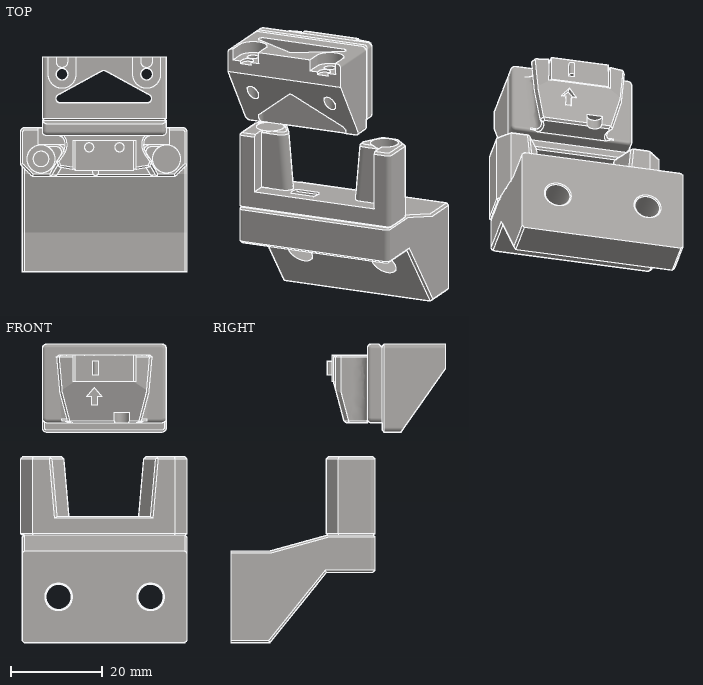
import cadquery as cq
import math


bracket_width = 35.9
bracket_center_x = 0.18
wall_block_depth = 8.5
wall_block_height = 20.0
arm_front_y = 20.8
arm_top_front_y = 21.2
arm_back_y = 31.4
arm_bottom_z = 15.3
arm_top_z = 23.5
bracket_chamfer = 0.5
back_edge_radius = 1.0
wall_hole_diameter = 5.5
wall_hole_chamfer = 0.25
wall_hole_spacing = 20.0
wall_hole_z = 10.0

dock_width = 36.26
dock_height = 17.0
dock_front_y = 20.75
dock_back_y = arm_back_y
dock_top_z = arm_top_z + dock_height
dock_floor_z = arm_top_z + 4.0
dock_front_corner = 2.6
dock_edge_chamfer = 0.5
dock_foot_chamfer = 0.3
slot_front_half_width = 10.35
slot_pocket_half_width = 14.3
slot_pocket_front_y = 27.75
slot_nose_radius = 1.7
slot_edge_chamfer = 0.4

bore_diameter = 6.1
bore_spacing = 27.3
bore_y = 24.57
screw_hole_diameter = 3.4

floor_pocket_x = 4.0
floor_pocket_y = 27.4
floor_pocket_diameter = 6.1
floor_slot_width = 3.0
floor_lip = 0.5

flank_angle = 30.0
draft_angle = 5.0
flank_slope = math.tan(math.radians(flank_angle))
draft_slope = math.tan(math.radians(draft_angle))

tool_x = 0.13
tool_width = 27.0
tool_top_z = 65.0
tool_corner_radius = 1.0
housing_front_y = 32.9
housing_back_y = 46.75
housing_bottom_z = 45.8
housing_slope_top_z = 59.7
housing_foot_back_y = 37.0
housing_front_chamfer = 0.45

window_base_y = 36.8
window_height = 7.1
window_half_base = 13.0
window_x = 0.0
window_corner_radius = 0.9

housing_hole_diameter = 2.5
housing_hole_spacing = 18.4
housing_hole_y = 43.0
screw_pocket_width = 6.1
screw_pocket_depth = 2.5
groove_width = 2.5
groove_end_y = 44.45
groove_depth = 0.6

flange_front_y = 29.7
flange_bottom_z = 47.85
flange_front_radius = 0.8
flange_top_relief = 0.7

plug_top_z = 62.6
plug_bottom_z = flange_bottom_z
plug_front_y = 22.3
plug_corner_y = 23.0
plug_corner_half_width = 11.03
plug_corner_chamfer = 1.2
plug_neck_y = 27.7
plug_neck_half_width = 8.6
plug_root_half_width = 10.5
plug_edge_chamfer = 0.45
bevel_angle = 15.0
bevel_slope = math.tan(math.radians(bevel_angle))

notch_x = tool_x + 3.8
notch_y = 24.2
notch_diameter = 3.4
notch_height = 2.3

arrow_x = -2.05
arrow_tip_z = 55.5
arrow_shoulder_z = 53.6
arrow_foot_z = 51.7
arrow_half_width = 1.65
arrow_shaft_half_width = 0.64
arrow_floor_y = 24.1

block_half_width = 6.37
block_side_gap = 0.5
recess_half_width = block_half_width + block_side_gap
block_front_y = 22.0
block_back_y = 28.55
block_bottom_z = 56.8
block_hole_diameter = 2.0
block_hole_spacing = 6.6
block_hole_y = 27.1
key_x = -1.77
key_width = 1.25
key_reach = 1.07
key_bottom_z = 58.25
key_height = 3.0

reach = 100.0
overcut = 1.0
pick_margin = 0.1


def box(x0, x1, y0, y1, z0, z1):
    return cq.Workplane("XY").box(x1 - x0, y1 - y0, z1 - z0, centered=False).translate((x0, y0, z0))


def cylinder(x, y, z0, z1, diameter):
    return cq.Workplane("XY", origin=(x, y, z0)).circle(diameter / 2).extrude(z1 - z0)


def side_profile(points, x0, x1):
    """Prism along X with an outline given as (y, z) points."""
    return cq.Workplane("YZ", origin=(x0, 0, 0)).polyline(points).close().extrude(x1 - x0)


def leaning_prism(outline, height):
    """Extrudes an XY outline upwards while it drifts towards -X at the draft slope."""
    wire = outline.val()
    return cq.Workplane(cq.Solid.extrudeLinear(wire, [], cq.Vector(-draft_slope * height, 0, height)))


def two_flanks(prism):
    """Keeps what lies between a drafted left flank and its mirror image."""
    return prism.intersect(prism.mirror("YZ"))


def make_bracket():
    x0 = bracket_center_x - bracket_width / 2
    x1 = x0 + bracket_width
    profile = [
        (0, 0),
        (wall_block_depth, 0),
        (arm_front_y, arm_bottom_z),
        (arm_back_y, arm_bottom_z),
        (arm_back_y, arm_top_z),
        (arm_top_front_y, arm_top_z),
        (wall_block_depth, wall_block_height),
        (0, wall_block_height),
    ]
    body = side_profile(profile, x0, x1)
    body = body.edges("|Z and >Y").fillet(back_edge_radius)
    rim = body.faces("<X or >X").edges("not |Z").add(body.faces(">Y").edges("|X"))
    body = body.newObject(rim.vals()).chamfer(bracket_chamfer)
    for side in (-1, 1):
        x = bracket_center_x + side * wall_hole_spacing / 2
        hole = cq.Workplane("XZ", origin=(x, 0, wall_hole_z)).circle(wall_hole_diameter / 2).extrude(-reach)
        body = body.cut(hole)
    body = body.faces("<Y").edges("%CIRCLE").chamfer(wall_hole_chamfer)
    return body


def make_slot():
    """Dovetail slot: a wide pocket at the back, rounded noses, flanks opening to the front."""
    height = dock_top_z - dock_floor_z
    drop = (slot_pocket_front_y - dock_front_y) * flank_slope
    nose_half_width = slot_front_half_width - drop
    front_half_width = slot_front_half_width + flank_slope * overcut
    outline = (
        cq.Workplane("XY", origin=(0, 0, dock_floor_z))
        .moveTo(reach, dock_front_y - overcut)
        .lineTo(-front_half_width, dock_front_y - overcut)
        .lineTo(-nose_half_width, slot_pocket_front_y)
        .lineTo(-reach, slot_pocket_front_y)
        .lineTo(-reach, dock_back_y + overcut)
        .lineTo(reach, dock_back_y + overcut)
        .close()
    )
    prism = leaning_prism(outline, height)
    nose = cq.selectors.BoxSelector(
        (-reach / 2, slot_pocket_front_y - pick_margin, dock_floor_z),
        (0, slot_pocket_front_y + pick_margin, dock_top_z),
    )
    prism = prism.edges("not(#Z)").edges(nose).fillet(slot_nose_radius)
    pocket_limit = box(
        -slot_pocket_half_width, slot_pocket_half_width, 0, reach, dock_floor_z, dock_top_z
    )
    return two_flanks(prism).intersect(pocket_limit)


def make_dock():
    half = dock_width / 2
    body = box(-half, half, dock_front_y, dock_back_y, arm_top_z, dock_top_z)
    body = body.edges("|Z and <Y").chamfer(dock_front_corner)
    body = body.edges("|Z and >Y").fillet(back_edge_radius)
    body = body.faces("<Z").edges().chamfer(dock_foot_chamfer)
    body = body.cut(make_slot())
    pocket_rim = cq.selectors.BoxSelector(
        (-half + back_edge_radius, slot_pocket_front_y - pick_margin, dock_floor_z),
        (half - back_edge_radius, dock_back_y - pick_margin, dock_top_z + pick_margin),
    )
    top_rim = body.faces(">Z").edges()
    body = top_rim.newObject(list(set(top_rim.vals()) - set(top_rim.edges(pocket_rim).vals())))
    body = body.chamfer(dock_edge_chamfer)
    mouth_half_width = half - dock_front_corner - pick_margin
    mouth = cq.selectors.BoxSelector(
        (-mouth_half_width, dock_front_y - pick_margin, dock_floor_z - pick_margin),
        (mouth_half_width, dock_front_y + pick_margin, dock_top_z - dock_edge_chamfer - pick_margin),
    )
    body = body.edges(mouth).chamfer(slot_edge_chamfer)
    for side in (-1, 1):
        x = side * bore_spacing / 2
        body = body.cut(cylinder(x, bore_y, dock_floor_z, dock_top_z, bore_diameter))
        body = body.cut(cylinder(x, bore_y, arm_top_z, dock_floor_z, screw_hole_diameter))
    pocket_top = dock_floor_z - floor_lip
    pocket = cylinder(floor_pocket_x, floor_pocket_y, arm_top_z, dock_floor_z, floor_pocket_diameter)
    opening = box(
        floor_pocket_x - reach,
        floor_pocket_x + reach,
        floor_pocket_y - floor_slot_width / 2,
        floor_pocket_y + floor_slot_width / 2,
        arm_top_z,
        dock_floor_z,
    )
    below_lip = box(-reach, reach, 0, reach, arm_top_z, pocket_top)
    return body.cut(pocket.intersect(opening.union(below_lip)))


def make_pin():
    return cylinder(bore_spacing / 2, bore_y, dock_floor_z, dock_top_z, bore_diameter)


def make_screw_seat(x):
    """Screw hole in a round-ended pocket open to the back, with a groove behind the hole."""
    floor_z = tool_top_z - screw_pocket_depth
    groove_z = floor_z - groove_depth
    groove_round_y = groove_end_y + groove_width / 2
    seat = cylinder(x, housing_hole_y, floor_z, tool_top_z, screw_pocket_width)
    half = screw_pocket_width / 2
    seat = seat.union(box(x - half, x + half, housing_hole_y, housing_back_y, floor_z, tool_top_z))
    seat = seat.union(cylinder(x, housing_hole_y, 0, floor_z, housing_hole_diameter))
    seat = seat.union(cylinder(x, groove_round_y, groove_z, floor_z, groove_width))
    half = groove_width / 2
    return seat.union(box(x - half, x + half, groove_round_y, housing_back_y, groove_z, floor_z))


def make_housing():
    half = tool_width / 2
    body = box(
        tool_x - half, tool_x + half, housing_front_y, housing_back_y, housing_bottom_z, tool_top_z
    )
    body = body.edges("|Y").fillet(tool_corner_radius)
    body = body.faces("<Y").edges().chamfer(housing_front_chamfer)
    slope = [
        (housing_foot_back_y, housing_bottom_z),
        (housing_back_y, housing_slope_top_z),
        (housing_back_y, housing_bottom_z),
    ]
    body = body.cut(side_profile(slope, -reach, reach))
    window = (
        cq.Workplane("XY")
        .polyline(
            [
                (window_x - window_half_base, window_base_y),
                (window_x + window_half_base, window_base_y),
                (window_x, window_base_y + window_height),
            ]
        )
        .close()
        .extrude(reach)
        .edges("|Z")
        .fillet(window_corner_radius)
    )
    body = body.cut(window)
    for side in (-1, 1):
        body = body.cut(make_screw_seat(tool_x + side * housing_hole_spacing / 2))
    return body


def make_flange():
    half = tool_width / 2
    body = box(-half, half, flange_front_y, housing_front_y, flange_bottom_z, tool_top_z)
    body = body.edges("|Y").fillet(tool_corner_radius)
    body = body.faces("<Y").edges().fillet(flange_front_radius)
    top_relief = side_profile(
        [
            (housing_front_y, tool_top_z),
            (housing_front_y - flange_top_relief, tool_top_z),
            (housing_front_y, tool_top_z - flange_top_relief),
        ],
        -half,
        half,
    )
    return body.cut(top_relief).translate((tool_x, 0, 0))


def make_dovetail():
    """Plug body: the drafted flanks narrow towards the flange and run into it in a round."""
    height = plug_top_z - plug_bottom_z
    draft = draft_slope * height
    outline = (
        cq.Workplane("XY", origin=(0, 0, plug_bottom_z))
        .moveTo(reach, plug_front_y)
        .lineTo(draft - recess_half_width, plug_front_y)
        .lineTo(draft - plug_corner_half_width, plug_corner_y)
        .spline(
            [
                (draft - plug_neck_half_width, plug_neck_y),
                (draft - plug_root_half_width, flange_front_y),
            ],
            tangents=[(flank_slope, 1), (-1, 0)],
            includeCurrent=True,
        )
        .lineTo(draft - reach, flange_front_y)
        .lineTo(draft - reach, housing_front_y)
        .lineTo(reach, housing_front_y)
        .close()
    )
    prism = leaning_prism(outline, height)
    half = tool_width / 2 - tool_corner_radius
    body = two_flanks(prism).intersect(box(-half, half, 0, flange_front_y, 0, reach))
    bevel = [
        (plug_front_y - overcut, block_bottom_z + overcut / bevel_slope),
        (plug_front_y - overcut, plug_bottom_z),
        (plug_front_y + (block_bottom_z - plug_bottom_z) * bevel_slope, plug_bottom_z),
    ]
    body = body.cut(side_profile(bevel, -reach, reach))
    corner_limit = plug_corner_half_width - 1.5 * plug_corner_chamfer
    front_corners = [
        edge
        for edge in body.edges("not(#Z)").vals()
        if abs(edge.Center().x) > corner_limit and edge.Center().y < plug_neck_y - plug_corner_chamfer
    ]
    body = body.newObject(front_corners).chamfer(plug_corner_chamfer)
    rim = body.faces("<Z or >Z").edges("not(>Y)")
    return body.newObject(rim.vals()).chamfer(plug_edge_chamfer).translate((tool_x, 0, 0))


def make_arrow():
    outline = [
        (0, arrow_tip_z),
        (arrow_half_width, arrow_shoulder_z),
        (arrow_shaft_half_width, arrow_shoulder_z),
        (arrow_shaft_half_width, arrow_foot_z),
        (-arrow_shaft_half_width, arrow_foot_z),
        (-arrow_shaft_half_width, arrow_shoulder_z),
        (-arrow_half_width, arrow_shoulder_z),
    ]
    sketch = cq.Workplane("XZ", origin=(arrow_x, arrow_floor_y, 0)).polyline(outline).close()
    return sketch.extrude(arrow_floor_y)


def make_plug():
    body = make_flange().union(make_dovetail())
    recess = box(
        tool_x - recess_half_width, tool_x + recess_half_width, 0, block_back_y, block_bottom_z, plug_top_z
    )
    notch = cylinder(notch_x, notch_y, 0, plug_bottom_z + notch_height, notch_diameter)
    return body.cut(recess).cut(notch).cut(make_arrow())


def make_block():
    body = box(
        tool_x - block_half_width,
        tool_x + block_half_width,
        block_front_y,
        block_back_y,
        block_bottom_z,
        plug_top_z,
    )
    key_radius = key_width / 2
    nose_y = block_front_y - key_reach + key_radius
    key_top_z = key_bottom_z + key_height
    key = cylinder(key_x, nose_y, key_bottom_z, key_top_z, key_width)
    key_web = box(key_x - key_radius, key_x + key_radius, nose_y, block_front_y, key_bottom_z, key_top_z)
    body = body.union(key_web).union(key)
    for side in (-1, 1):
        x = tool_x + side * block_hole_spacing / 2
        body = body.cut(cylinder(x, block_hole_y, block_bottom_z, plug_top_z, block_hole_diameter))
    return body


bracket = make_bracket()
dock = make_dock()
pin = make_pin()
housing = make_housing()
plug = make_plug()
block = make_block()

result = cq.Compound.makeCompound(
    [bracket.val(), dock.val(), pin.val(), housing.val(), plug.val(), block.val()]
)